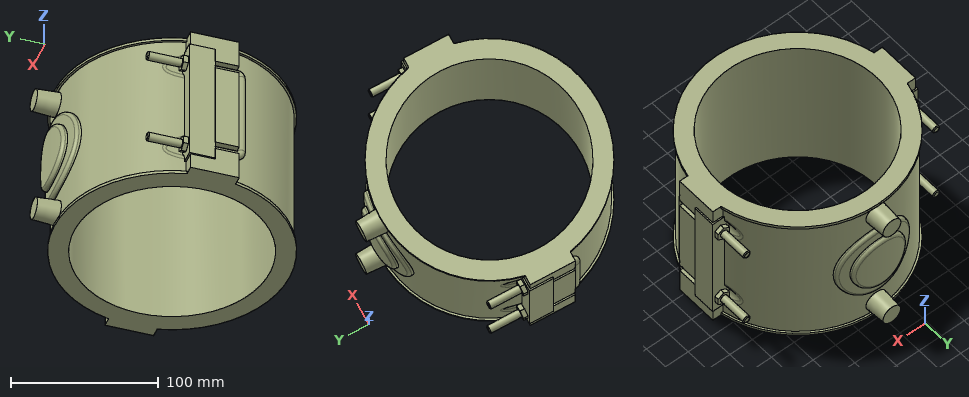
import cadquery as cq
import math

height = 118.0
overall_depth = 183.2
bore_radius = 70.0
body_radius = 82.6
rim_radius = 84.3
rim_thickness = 2.4

overall_width = 182.0
cover_wall = 1.2
cover_height = 94.5
ear_depth = 17.5
cover_half_width = overall_width / 2
ear_half_width = cover_half_width - cover_wall
cover_depth = ear_depth + cover_wall

rod_diameter = 6.0
rod_radius = rod_diameter / 2
rod_x = 84.0
rod_z = 35.2
rod_tip_y = 46.5
rod_tip_chamfer = 0.7
bend_radius = 3.1
slot_width = 5.7

nut_across_flats = 10.0
nut_thickness = 3.5
nut_across_corners = nut_across_flats / math.cos(math.pi / 6)
clearance_radius = 7.5
clearance_fillet = 5.9
clearance_start_y = ear_depth / 2

large_pad_radius = 32.6
small_pad_radius = 23.5
large_pad_height = 3.3
small_pad_height = 6.8
pad_fillet = 2.5
stud_z = 47.1
stud_base_radius = 9.2
stud_tip_radius = 7.9
stud_tip_y = overall_depth - rim_radius

wall_middle = (bore_radius + body_radius) / 2


def disc_z(radius, length, z_center=0):
    """Cylinder about Z, centred at the given height."""
    return cq.Workplane("XY", origin=(0, 0, z_center - length / 2)).circle(radius).extrude(length)


def plane_along_y(x, y, z):
    """Workplane whose normal is +Y, with its local x axis on X."""
    return cq.Workplane(cq.Plane(origin=(x, y, z), xDir=(1, 0, 0), normal=(0, 1, 0)))


def tapered_pin(x, y, z, start_radius, end_radius, length):
    """Cone frustum running along +Y from the given point."""
    profile = plane_along_y(x, y, z).circle(start_radius)
    return profile.workplane(offset=length).circle(end_radius).loft()


def body_with_clearances():
    """Sleeve body with a round-mouthed hollow beside each nut, starting inside the ears."""
    body = disc_z(body_radius, height).rotate((0, 0, 0), (0, 0, 1), -90)
    for side in (-1, 1):
        for z in (-rod_z, rod_z):
            hollow = plane_along_y(side * rod_x, clearance_start_y, z).circle(clearance_radius)
            body = body.cut(hollow.extrude(body_radius))
    return body.edges("%BSPLINE").fillet(clearance_fillet)


def sleeve():
    """Outer form of the sleeve, with rims and ears, before boring."""
    outer = body_with_clearances()
    rim_z = (height - rim_thickness) / 2
    for z in (-rim_z, rim_z):
        outer = outer.union(disc_z(rim_radius, rim_thickness, z))
    ears = cq.Workplane("XY").box(2 * ear_half_width, 2 * ear_depth, height)
    cover = cq.Workplane("XY").box(2 * cover_half_width, cover_depth, cover_height)
    return outer.union(ears).union(cover.translate((0, cover_depth / 2, 0)))


def rod_slot(side, z):
    """Open slot through the -Y half of an ear, from the rod axis outward."""
    length = ear_half_width - rod_x
    slot = cq.Workplane("XY").box(length, ear_depth, slot_width)
    return slot.translate((side * (rod_x + length / 2), -ear_depth / 2, z))


def u_bolt(side):
    """Two rods, a connecting bar and the bends between them."""
    x = side * rod_x
    bar_half = rod_z - bend_radius
    bolt = cq.Workplane("XY", origin=(x, -ear_depth - bend_radius, -bar_half))
    bolt = bolt.circle(rod_radius).extrude(2 * bar_half)
    for direction in (-1, 1):
        rod = plane_along_y(x, -ear_depth, direction * rod_z).circle(rod_radius)
        rod = rod.extrude(rod_tip_y + ear_depth).faces(">Y").chamfer(rod_tip_chamfer)
        bend = plane_along_y(x, -ear_depth, direction * rod_z).circle(rod_radius)
        pivot = direction * bend_radius
        bend = bend.revolve(90, (0, pivot, 0), (direction, pivot, 0))
        bolt = bolt.union(rod).union(bend)
    return bolt


def nut(side, z):
    """Hexagonal nut seated on the cover, with corners at top and bottom."""
    hexagon = plane_along_y(side * rod_x, cover_depth, z).transformed(rotate=(0, 0, 90))
    return hexagon.polygon(6, nut_across_corners).extrude(nut_thickness)


def saddle_pad(pad_radius, outer_radius):
    """Round pad along Y whose outer face is concentric with the sleeve."""
    blank = plane_along_y(0, bore_radius, 0).circle(pad_radius).extrude(rim_radius)
    pad = blank.intersect(disc_z(outer_radius, height))
    return pad.faces(">Y").edges().fillet(pad_fillet)


part = sleeve()
for side in (-1, 1):
    for z in (-rod_z, rod_z):
        part = part.cut(rod_slot(side, z))
part = part.union(saddle_pad(large_pad_radius, body_radius + large_pad_height))
part = part.union(saddle_pad(small_pad_radius, body_radius + small_pad_height))
for z in (-stud_z, stud_z):
    stud = tapered_pin(0, wall_middle, z, stud_base_radius, stud_tip_radius, stud_tip_y - wall_middle)
    part = part.union(stud)
part = part.cut(disc_z(bore_radius, height))
for side in (-1, 1):
    part = part.union(u_bolt(side))
    for z in (-rod_z, rod_z):
        part = part.union(nut(side, z))

result = part